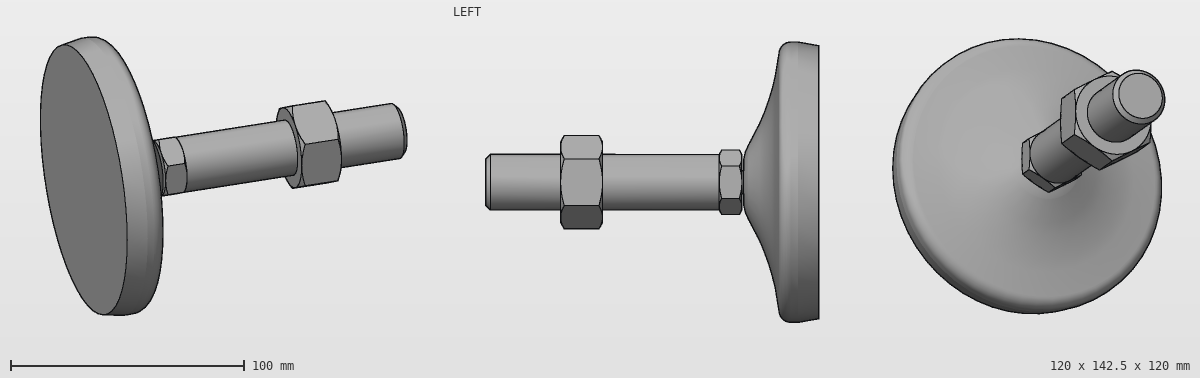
import cadquery as cq
import math

total_length = 142.5

foot_radius = 120.0 / 2
base_radius = 58.4
taper_height = 8.8
rim_height = 12.0
rim_round = 5.1
rim_round_end_angle = math.radians(82)
flank_mid_radius = 35.5
flank_mid_height = 21.4
crown_height = 32.2
crown_round = 14.0
crown_flat_radius = 8.5
crown_angle = math.radians(31)

neck_radius = 10.0 / 2
stud_diameter = 24.0
stud_tip_chamfer = 2.0

collar_start = 32.9
collar_end = 42.6
collar_flats = stud_diameter

nut_start = 92.5
nut_end = 110.5
nut_flats = 34.6
hex_chamfer_angle = math.radians(30)


def arc_point(center, radius, angle):
    """Point on a circle, with the angle measured from the radial direction."""
    return (center[0] + radius * math.cos(angle), center[1] + radius * math.sin(angle))


def revolve_about_y(profile):
    return profile.close().revolve(360, (0, 0, 0), (0, 1, 0))


def make_foot():
    rim_center = (foot_radius - rim_round, rim_height)
    rim_mid = arc_point(rim_center, rim_round, rim_round_end_angle / 2)
    rim_end = arc_point(rim_center, rim_round, rim_round_end_angle)
    crown_center = (crown_flat_radius, crown_height - crown_round)
    crown_start = arc_point(crown_center, crown_round, math.pi / 2 - crown_angle)
    crown_mid = arc_point(crown_center, crown_round, math.pi / 2 - crown_angle / 2)
    profile = (
        cq.Workplane("XY")
        .lineTo(base_radius, 0)
        .lineTo(foot_radius, taper_height)
        .lineTo(foot_radius, rim_height)
        .threePointArc(rim_mid, rim_end)
        .threePointArc((flank_mid_radius, flank_mid_height), crown_start)
        .threePointArc(crown_mid, (crown_flat_radius, crown_height))
        .lineTo(0, crown_height)
    )
    return revolve_about_y(profile)


def make_stud():
    stud_radius = stud_diameter / 2
    profile = (
        cq.Workplane("XY")
        .lineTo(neck_radius, 0)
        .lineTo(neck_radius, collar_start)
        .lineTo(stud_radius, collar_start)
        .lineTo(stud_radius, total_length - stud_tip_chamfer)
        .lineTo(stud_radius - stud_tip_chamfer, total_length)
        .lineTo(0, total_length)
    )
    return revolve_about_y(profile)


def make_hexagon(start, end, flats):
    """Hexagonal prism along Y, corners on +Z and -Z, with conical end chamfers."""
    face_radius = flats / 2
    corner_radius = face_radius / math.cos(math.pi / 6)
    chamfer_depth = (corner_radius - face_radius) * math.tan(hex_chamfer_angle)
    prism = (
        cq.Workplane("XZ", origin=(0, start, 0))
        .polygon(6, 2 * corner_radius)
        .extrude(start - end)
        .rotate((0, 0, 0), (0, 1, 0), 30)
    )
    envelope = revolve_about_y(
        cq.Workplane("XY")
        .moveTo(0, start)
        .lineTo(face_radius, start)
        .lineTo(corner_radius, start + chamfer_depth)
        .lineTo(corner_radius, end - chamfer_depth)
        .lineTo(face_radius, end)
        .lineTo(0, end)
    )
    return prism.intersect(envelope)


collar = make_hexagon(collar_start, collar_end, collar_flats)
nut = make_hexagon(nut_start, nut_end, nut_flats)
result = make_foot().union(make_stud()).union(collar).union(nut)